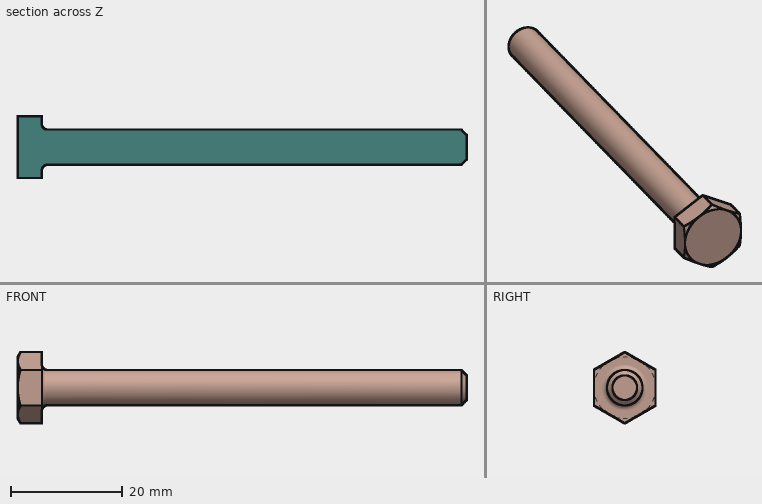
import cadquery as cq
import math

total_length = 80.6
head_height = 4.35
across_flats = 11.1
shank_diameter = 6.4
tip_chamfer = 1.0
neck_fillet = 1.0
head_chamfer_angle = 30.0

shank_length = total_length - head_height
across_corners = across_flats / math.cos(math.radians(30))
shank_radius = shank_diameter / 2


def hex_head():
    """Hexagonal prism with corners on +Z and -Z and a conical chamfer on its outer face."""
    prism = (
        cq.Workplane("YZ", origin=(-head_height, 0, 0))
        .polygon(6, across_corners)
        .extrude(head_height)
        .rotate((0, 0, 0), (1, 0, 0), 90)
    )
    face_radius = across_flats / 2
    corner_radius = across_corners / 2
    chamfer_depth = (corner_radius - face_radius) * math.tan(math.radians(head_chamfer_angle))
    chamfer_envelope = (
        cq.Workplane("XY")
        .moveTo(-head_height, 0)
        .lineTo(-head_height, face_radius)
        .lineTo(-head_height + chamfer_depth, corner_radius)
        .lineTo(0, corner_radius)
        .lineTo(0, 0)
        .close()
        .revolve(360, (0, 0, 0), (1, 0, 0))
    )
    return prism.intersect(chamfer_envelope)


def shank():
    """Round shank with a concave neck, a plain length and a chamfered tip."""
    neck_radius = shank_radius + neck_fillet
    arc_offset = neck_fillet * (1 - math.sqrt(0.5))
    return (
        cq.Workplane("XZ")
        .moveTo(0, 0)
        .lineTo(0, neck_radius)
        .threePointArc((arc_offset, shank_radius + arc_offset), (neck_fillet, shank_radius))
        .lineTo(shank_length - tip_chamfer, shank_radius)
        .lineTo(shank_length, shank_radius - tip_chamfer)
        .lineTo(shank_length, 0)
        .close()
        .revolve(360, (0, 0, 0), (1, 0, 0))
    )


result = hex_head().union(shank())